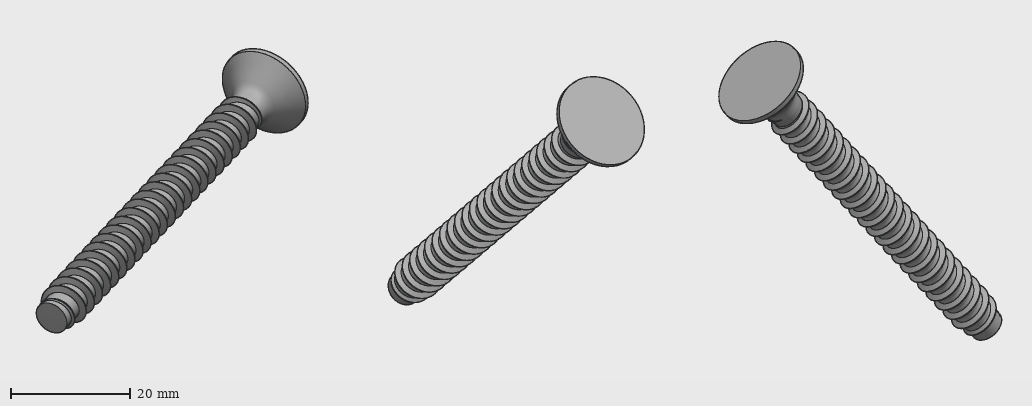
import math

import cadquery as cq


overall_length = 75.0
head_radius = 8.0
rim_depth = 0.95
cone_half_angle = math.radians(45)

neck_radius = 3.25
neck_fillet_radius = 3.1
collar_end_depth = 7.8
collar_end_radius = 3.2
core_start_depth = 9.8

core_radius = 2.94
tip_cone_height = 0.2

crest_radius = 4.03
crest_half_width = 0.08
flank_half_width = 0.45
foot_length = 1.04
foot_top_offset = 0.5
foot_top_radius = 3.1
root_overlap = 0.15

pitch = 2.82
crest_at_plus_x_depth = 8.0
start_turn = -0.25
lead_in_turns = 0.75
full_thread_turns = 21.75
run_out_turns = 1.25
lead_in_height = 0.35
run_out_height = 0.1
points_per_turn = 24


def make_body():
    """Revolve the head, neck and core about the Y axis."""
    cone_end_radius = neck_radius + neck_fillet_radius * (1 - math.cos(cone_half_angle))
    cone_end_depth = rim_depth + (head_radius - cone_end_radius) / math.tan(cone_half_angle)
    fillet_end_depth = cone_end_depth + neck_fillet_radius * math.sin(cone_half_angle)
    half_arc = cone_half_angle / 2
    fillet_mid_radius = neck_radius + neck_fillet_radius * (1 - math.cos(half_arc))
    fillet_mid_depth = fillet_end_depth - neck_fillet_radius * math.sin(half_arc)
    return (
        cq.Workplane("XY")
        .lineTo(head_radius, 0)
        .lineTo(head_radius, -rim_depth)
        .lineTo(cone_end_radius, -cone_end_depth)
        .threePointArc((fillet_mid_radius, -fillet_mid_depth), (neck_radius, -fillet_end_depth))
        .lineTo(collar_end_radius, -collar_end_depth)
        .lineTo(core_radius, -core_start_depth)
        .lineTo(core_radius, tip_cone_height - overall_length)
        .lineTo(0, -overall_length)
        .close()
        .revolve(360, (0, 0, 0), (0, 1, 0))
        .val()
    )


def ridge_corners():
    """Ridge section corners as (depth offset from the crest centre, height above the root)."""
    foot_slope = (foot_length - foot_top_offset) / (foot_top_radius - core_radius)
    flank_slope = (flank_half_width - crest_half_width) / (crest_radius - core_radius)
    crest_height = crest_radius - core_radius + root_overlap
    foot_height = foot_top_radius - core_radius + root_overlap
    return [
        (-foot_length - foot_slope * root_overlap, 0),
        (-foot_top_offset, foot_height),
        (-crest_half_width, crest_height),
        (crest_half_width, crest_height),
        (flank_half_width + flank_slope * root_overlap, 0),
    ]


def ridge_stretches():
    """Stretches of the ridge as (first turn, last turn, height share at first, at last)."""
    full_start = start_turn + lead_in_turns
    full_end = full_start + full_thread_turns
    full_count = math.ceil(full_thread_turns)
    step = full_thread_turns / full_count
    stretches = [(start_turn, full_start, lead_in_height, 1)]
    for index in range(full_count):
        stretches.append((full_start + index * step, full_start + (index + 1) * step, 1, 1))
    stretches.append((full_end, full_end + run_out_turns, 1, run_out_height))
    return stretches


def ridge_point(turn, offset, height):
    """Point of a ridge corner at the given turn."""
    angle = 2 * math.pi * turn
    radius = core_radius - root_overlap + height
    depth = crest_at_plus_x_depth + pitch * turn + offset
    return cq.Vector(radius * math.cos(angle), -depth, radius * math.sin(angle))


def ridge_edge(stretch, corner):
    """Helical edge of one corner, its height changing evenly along the stretch."""
    first_turn, last_turn, first_share, last_share = stretch
    offset, height = corner
    steps = math.ceil((last_turn - first_turn) * points_per_turn)
    points = []
    for index in range(steps + 1):
        fraction = index / steps
        turn = first_turn + fraction * (last_turn - first_turn)
        share = first_share + fraction * (last_share - first_share)
        points.append(ridge_point(turn, offset, height * share))
    return cq.Edge.makeSpline(points)


def end_cap(points):
    """Face closing one end of the ridge."""
    return cq.Face.makeFromWires(cq.Wire.makePolygon(points, close=True))


def make_thread():
    """Solid ridge with a lead-in below the neck and a run-out at the tip."""
    corners = ridge_corners()
    edge_sets = []
    for stretch in ridge_stretches():
        edge_sets.append([ridge_edge(stretch, corner) for corner in corners])

    faces = [
        end_cap([edge.startPoint() for edge in edge_sets[0]]),
        end_cap([edge.endPoint() for edge in edge_sets[-1]]),
    ]
    for edges in edge_sets:
        for edge, next_edge in zip(edges, edges[1:] + edges[:1]):
            faces.append(cq.Face.makeRuledSurface(edge, next_edge))
    return cq.Solid.makeSolid(cq.Shell.makeShell(faces))


result = cq.Workplane("XY").newObject([make_body().fuse(make_thread())])